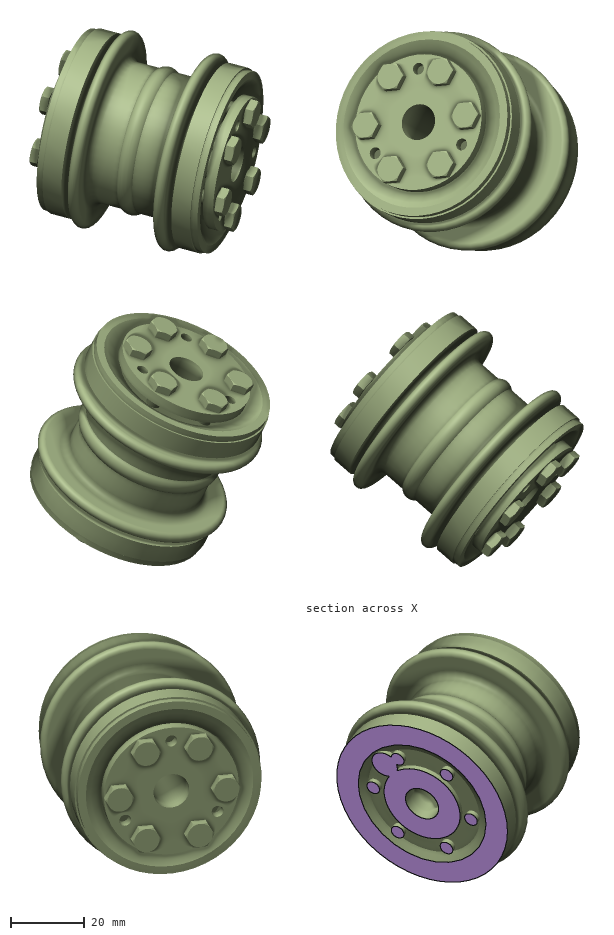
import cadquery as cq
import math


bolt_end = 28.3
head_inner_end = 25.9
plate_outer_face = 25.6
rim_face = 23.5
flange_outer_face = 21.55
flange_inner_face = 16.1
fin_outer_face = 14.05
fin_inner_face = 10.9

drum_radius = 40.0 / 2
rim_radius = 51.6 / 2
flange_radius = 52.6 / 2
fin_radius = 56.0 / 2
groove_bottom_radius = 39.0 / 2
drum_fillet = 2.0
bead_height = 1.0
bead_arc_radius = 3.0
bore_diameter = 10.0

recess_mouth_radius = 23.55
recess_floor_radius = 17.1
recess_depth = 3.6
hub_diameter = 23.5

plate_diameter = 38.0
plate_thickness = 3.0
pitch_radius = 15.0
bolt_count = 6
first_bolt_angle = 0
shank_diameter = 4.0
washer_face_diameter = 5.9
head_across_flats = 7.0
head_chamfer_angle = 30
pin_hole_count = 3
pin_hole_diameter = 3.3
pin_hole_start_angle = 90

boss_angle = 140
boss_diameter = 7.9

floor_face = rim_face - recess_depth
plate_inner_face = plate_outer_face - plate_thickness


def around_pitch_circle(count, start_angle):
    """Evenly spaced (y, z) places on the pitch circle."""
    angles = [math.radians(start_angle + i * 360 / count) for i in range(count)]
    return [(pitch_radius * math.cos(a), pitch_radius * math.sin(a)) for a in angles]


def rods(places, diameter, x_from, x_to):
    """Round rods along +X, one at each (y, z) place."""
    plane = cq.Workplane("YZ", origin=(x_from, 0, 0))
    return plane.pushPoints(places).circle(diameter / 2).extrude(x_to - x_from)


def make_body_half():
    """The +X half of the roller body, with its recess, turned from one outline."""
    diagonal = math.cos(math.radians(45))
    fillet_mid_x = fin_inner_face - drum_fillet * (1 - diagonal)
    fillet_mid_radius = drum_radius + drum_fillet * (1 - diagonal)
    fin_tip_arc = (fin_outer_face - fin_inner_face) / 2
    groove_arc = (flange_inner_face - fin_outer_face) / 2
    fin_middle = fin_inner_face + fin_tip_arc
    groove_middle = fin_outer_face + groove_arc

    outline = (
        cq.Workplane("XY")
        .lineTo(0, drum_radius)
        .lineTo(fin_inner_face - drum_fillet, drum_radius)
        .threePointArc((fillet_mid_x, fillet_mid_radius), (fin_inner_face, drum_radius + drum_fillet))
        .lineTo(fin_inner_face, fin_radius - fin_tip_arc)
        .threePointArc((fin_middle, fin_radius), (fin_outer_face, fin_radius - fin_tip_arc))
        .lineTo(fin_outer_face, groove_bottom_radius + groove_arc)
        .threePointArc(
            (groove_middle, groove_bottom_radius),
            (flange_inner_face, groove_bottom_radius + groove_arc),
        )
        .lineTo(flange_inner_face, flange_radius)
        .lineTo(flange_outer_face, flange_radius)
        .lineTo(flange_outer_face, rim_radius)
        .lineTo(rim_face, rim_radius)
        .lineTo(rim_face, recess_mouth_radius)
        .lineTo(floor_face, recess_floor_radius)
        .lineTo(floor_face, 0)
        .close()
    )
    return outline.revolve(360, (0, 0, 0), (1, 0, 0))


def make_bead():
    """Solid slice of the drum carrying the rounded rib around its middle."""
    bead_centre = drum_radius + bead_height - bead_arc_radius
    half_width = math.sqrt(bead_arc_radius**2 - (drum_radius - bead_centre) ** 2)
    outline = (
        cq.Workplane("XY")
        .moveTo(-half_width, 0)
        .lineTo(-half_width, drum_radius)
        .threePointArc((0, drum_radius + bead_height), (half_width, drum_radius))
        .lineTo(half_width, 0)
        .close()
    )
    return outline.revolve(360, (0, 0, 0), (1, 0, 0))


def make_bolt_heads(places):
    """Hexagon heads with flats facing up and down and chamfered outer corners."""
    corner_diameter = head_across_flats / math.cos(math.radians(30))
    head_height = bolt_end - head_inner_end
    face_radius = head_across_flats / 2
    cone_height = face_radius * math.tan(math.radians(head_chamfer_angle))
    base_radius = face_radius * (1 + head_height / cone_height)
    start = cq.Workplane("YZ", origin=(head_inner_end, 0, 0))
    hexagon = start.polygon(6, corner_diameter).extrude(head_height)
    chamfer_cone = cq.Workplane(
        cq.Solid.makeCone(
            base_radius,
            face_radius,
            head_height,
            pnt=cq.Vector(head_inner_end, 0, 0),
            dir=cq.Vector(1, 0, 0),
        )
    )
    head = hexagon.intersect(chamfer_cone)
    heads = cq.Workplane("YZ")
    for y, z in places:
        heads = heads.add(head.translate((0, y, z)))
    return heads.combine()


def make_end_plate():
    """Plate over the +X recess, on its hub and boss, held by a ring of bolts."""
    bolt_places = around_pitch_circle(bolt_count, first_bolt_angle)
    boss_places = around_pitch_circle(1, boss_angle)
    pin_places = around_pitch_circle(pin_hole_count, pin_hole_start_angle)
    centre = [(0, 0)]

    plate = rods(centre, plate_diameter, plate_inner_face, plate_outer_face)
    plate = plate.cut(rods(pin_places, pin_hole_diameter, plate_inner_face, plate_outer_face))
    hub = rods(centre, hub_diameter, floor_face, plate_inner_face)
    boss = rods(boss_places, boss_diameter, floor_face, plate_inner_face)
    shanks = rods(bolt_places, shank_diameter, floor_face, plate_inner_face)
    washer_faces = rods(bolt_places, washer_face_diameter, plate_outer_face, head_inner_end)
    heads = make_bolt_heads(bolt_places)
    return plate.union(hub).union(boss).union(shanks).union(washer_faces).union(heads)


half = make_body_half().union(make_end_plate())
roller = half.union(half.mirror("YZ")).union(make_bead())
result = roller.cut(rods([(0, 0)], bore_diameter, -bolt_end, bolt_end))